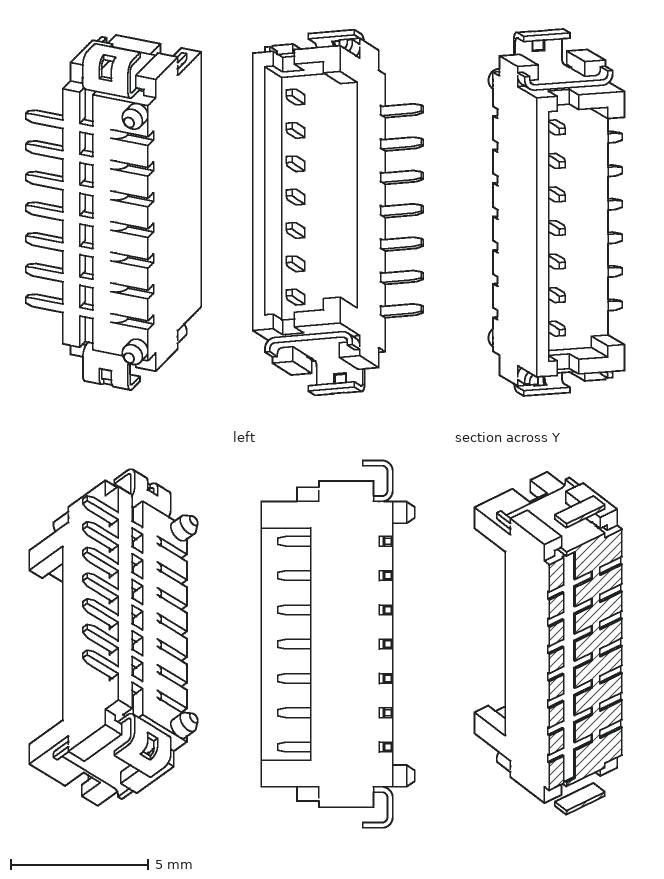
import cadquery as cq


body_width = 3.4
body_height = 4.8
body_length = 10.4
side_x = body_width / 2
end_z = body_length / 2

cavity_floor_y = 3.0
cavity_start_x = -1.05
cavity_end_x = 1.23
cavity_length = 9.3
window_length = 8.46
key_start_x = 0.08
key_end_x = 0.9
key_floor_y = 3.8

ear_front_y = 0.7
ear_back_y = 2.7
ear_height = 0.75
ear_width = 0.8
ear_inner_x = side_x - ear_width

pin_count = 7
pin_pitch = 1.25
pin_size = 0.35
pin_x = 0.5
pin_top_y = 4.2
tail_end_x = -side_x - 1.5
pin_tip_length = 0.29
pin_tip_size = 0.23
bend_inner_radius = 0.15
bend_outer_radius = 0.45

recess_depth = 0.5
channel_start_x = -1.02
channel_end_x = -0.5

peg_diameter = 0.8
peg_x = side_x - peg_diameter / 2
peg_z = end_z - peg_diameter / 2
peg_straight = 0.5
peg_length = 0.8
peg_tip_diameter = 0.4

sheet = 0.2
clip_width = 2 * ear_inner_x
clip_height = 1.5
clip_lip_y = 1.1
clip_bend_radius = 0.4
clip_slot_width = 0.48
clip_slot_start = 0.71
clip_slot_back_y = 0.4
tang_width = 2.44
tang_front_y = 1.0
tang_corner_radius = 0.2
ear_slot_height = 0.24
wing_back_y = 3.5
wing_height = 0.52


def block(x_range, y_range, z_range):
    """Box spanning the given (low, high) limits."""
    limits = (x_range, y_range, z_range)
    sizes = [high - low for low, high in limits]
    corner = tuple(low for low, high in limits)
    return cq.Workplane("XY").box(*sizes, centered=False).translate(corner)


def both_ends(shape):
    """The shape together with its mirror image about Z = 0."""
    return shape.union(shape.mirror("XY"))


def pin_positions():
    """Z of each pin, evenly spaced about Z = 0."""
    return [(i - (pin_count - 1) / 2) * pin_pitch for i in range(pin_count)]


def make_housing():
    body = block((-side_x, side_x), (0, body_height), (-end_z, end_z))
    for x_range in ((-side_x, -ear_inner_x), (ear_inner_x, side_x)):
        ear = block(x_range, (ear_front_y, ear_back_y), (end_z, end_z + ear_height))
        body = body.union(both_ends(ear))

    cavity_y = (cavity_floor_y, body_height)
    cavity = block((cavity_start_x, cavity_end_x), cavity_y, (-cavity_length / 2, cavity_length / 2))
    window = block((-side_x, 0), cavity_y, (-window_length / 2, window_length / 2))
    key = block((key_start_x, key_end_x), (key_floor_y, body_height), (-end_z, end_z))
    body = body.cut(cavity).cut(window).cut(key)

    channel = block((channel_start_x, channel_end_x), (0, recess_depth), (-end_z, end_z))
    body = body.cut(channel)
    for z in pin_positions():
        z_range = (z - pin_size / 2, z + pin_size / 2)
        body = body.cut(block((-side_x, side_x), (0, recess_depth), z_range))
    return body


def pin_tip(plane):
    """Tapered end growing along the normal of the plane, from its origin."""
    return (
        cq.Workplane(plane)
        .rect(pin_size, pin_size)
        .workplane(offset=pin_tip_length)
        .rect(pin_tip_size, pin_tip_size)
        .loft(combine=True)
    )


def make_pin():
    """L-shaped pin centred on Z = 0, its tail lying on the board plane."""
    half = pin_size / 2
    leg_end_y = pin_top_y - pin_tip_length
    tail_start_x = tail_end_x + pin_tip_length
    leg = block((pin_x - half, pin_x + half), (0, leg_end_y), (-half, half))
    tail = block((tail_start_x, pin_x + half), (0, pin_size), (-half, half))
    bent = leg.union(tail)
    bent = bent.edges(cq.NearestToPointSelector((pin_x + half, 0, 0))).fillet(bend_outer_radius)
    inner_corner = cq.NearestToPointSelector((pin_x - half, pin_size, 0))
    bent = bent.edges(inner_corner).fillet(bend_inner_radius)
    leg_tip = pin_tip(cq.Plane((pin_x, leg_end_y, 0), (1, 0, 0), (0, 1, 0)))
    tail_tip = pin_tip(cq.Plane((tail_start_x, half, 0), (0, 1, 0), (-1, 0, 0)))
    return bent.union(leg_tip).union(tail_tip)


def make_peg():
    straight = (
        cq.Workplane("XZ", origin=(peg_x, 0, peg_z))
        .circle(peg_diameter / 2)
        .extrude(peg_straight)
    )
    return (
        straight.faces("<Y").workplane()
        .circle(peg_diameter / 2)
        .workplane(offset=peg_length - peg_straight)
        .circle(peg_tip_diameter / 2)
        .loft(combine=True)
    )


def make_clip_hook():
    """C-shaped solder tab in front of the ears, open toward +Y."""
    x_range = (-clip_width / 2, clip_width / 2)
    top_z = end_z + clip_height
    outer = block(x_range, (0, clip_lip_y), (end_z, top_z))
    outer = outer.edges("|X and <Y").fillet(clip_bend_radius)
    inner = block(x_range, (sheet, clip_lip_y), (end_z + sheet, top_z - sheet))
    inner = inner.edges("|X and <Y").fillet(clip_bend_radius - sheet)
    slot = block(
        (-clip_slot_width / 2, clip_slot_width / 2),
        (0, clip_slot_back_y),
        (end_z + clip_slot_start, top_z),
    )
    return outer.cut(inner).cut(slot)


def make_clip_wings():
    """U-shaped rear of the clip: a flat plate with both side edges bent outward."""
    y_range = (ear_back_y, wing_back_y)
    top_z = end_z + wing_height
    outer = block((-side_x, side_x), y_range, (end_z, top_z))
    outer = outer.edges("|Y and <Z").fillet(clip_bend_radius)
    inner = block((sheet - side_x, side_x - sheet), y_range, (end_z + sheet, top_z))
    inner = inner.edges("|Y and <Z").fillet(clip_bend_radius - sheet)
    return outer.cut(inner)


def make_clip():
    sheet_z = (end_z, end_z + sheet)
    tang = block((-tang_width / 2, tang_width / 2), (tang_front_y, ear_back_y), sheet_z)
    neck = block((-clip_width / 2, clip_width / 2), (ear_front_y, ear_back_y), sheet_z)
    tang = tang.edges("|Z and <Y").fillet(tang_corner_radius)
    return make_clip_hook().union(neck).union(tang).union(make_clip_wings())


def make_ear_slot():
    """Gap under the ears that takes the clip sheet, closed just behind the tang corners."""
    y_range = (ear_front_y, tang_front_y + tang_corner_radius)
    z_range = (end_z, end_z + ear_slot_height)
    return block((-tang_width / 2, tang_width / 2), y_range, z_range)


def make_part():
    part = make_housing().cut(both_ends(make_ear_slot()))
    pin = make_pin()
    for z in pin_positions():
        part = part.union(pin.translate((0, 0, z)))
    part = part.union(both_ends(make_peg()))
    return part.union(both_ends(make_clip()))


result = make_part()